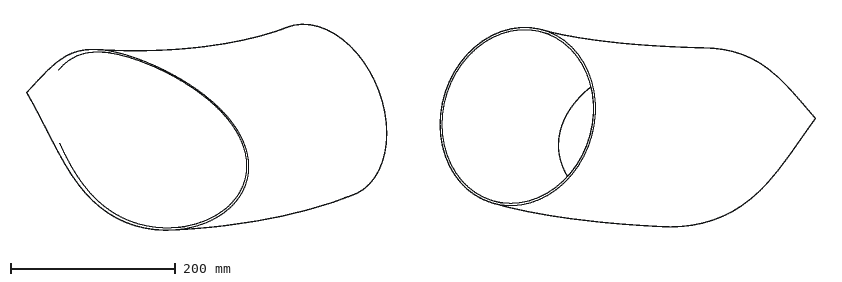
import cadquery as cq

overall_length = 414.5
pipe_diameter = 219.5
wall = 3.0
header_diameter = 406.3
bend_angle = 90.0
end_clearance = 41.5

pipe_radius = pipe_diameter / 2
bend_radius = overall_length - pipe_radius
inside_bend_radius = bend_radius - pipe_radius
header_radius = header_diameter / 2


def bent_rod(radius):
    """Solid quarter torus running from the square end toward -Y, then toward -X."""
    return (
        cq.Workplane("XZ")
        .center(bend_radius, 0)
        .circle(radius)
        .revolve(bend_angle, (-bend_radius, 0), (-bend_radius, -1))
    )


def header_cylinder():
    """Header pipe along X, its crest touching the inside of the bend."""
    axis_y = -(inside_bend_radius + header_radius)
    return (
        cq.Workplane("ZY", origin=(overall_length + end_clearance, 0, 0))
        .center(0, axis_y)
        .circle(header_radius)
        .extrude(overall_length + 2 * end_clearance)
    )


elbow = bent_rod(pipe_radius).cut(bent_rod(pipe_radius - wall))
result = elbow.cut(header_cylinder())